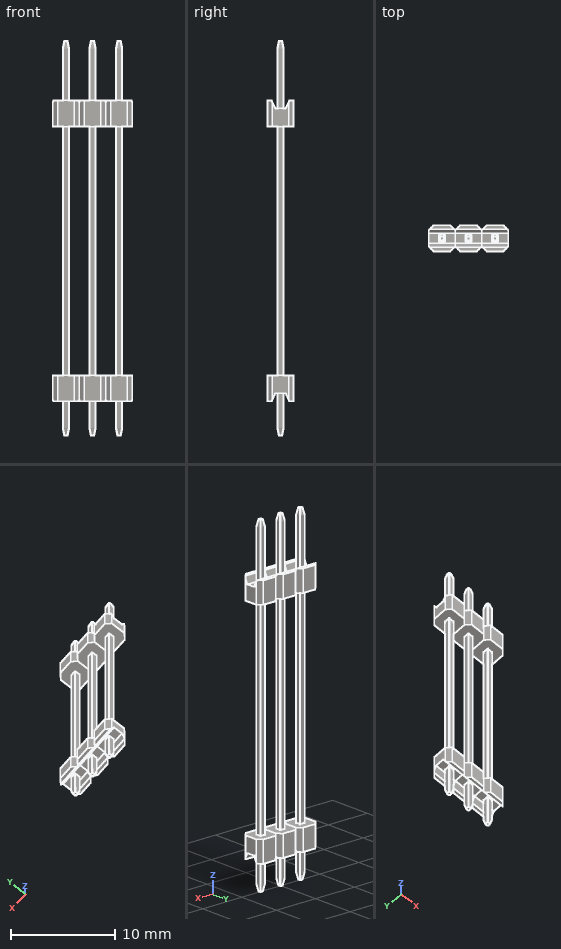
import cadquery as cq

pin_count = 3
row_length = 7.65
pitch = row_length / pin_count
pin_length = 37.8
pin_width = 0.65
tip_width = 0.35
tip_length = 0.75
pin_edge_chamfer = 0.05

cell_height = 2.5
cell_depth = 2.55
corner_chamfer = 0.5
groove_mouth = 1.7
groove_floor = 1.0
groove_depth = 0.75
upper_pin_reach = 5.7
lower_pin_reach = 3.3

half_length = pin_length / 2
upper_cell_face = half_length - upper_pin_reach
lower_cell_face = -half_length + lower_pin_reach
pin_places = [(i - (pin_count - 1) / 2) * pitch for i in range(pin_count)]


def pin_outline(width):
    """Square outline centred on the origin with its four corners cut off."""
    square = cq.Sketch().rect(width, width)
    return square.vertices().chamfer(pin_edge_chamfer)


def make_tip():
    """Taper that starts at the origin and narrows upward, keeping the cut corners."""
    base = pin_outline(pin_width)
    end = pin_outline(tip_width)
    return cq.Workplane("XY").placeSketch(base, end.moved(cq.Location((0, 0, tip_length)))).loft()


def make_pin(x):
    """Square pin with chamfered long edges and both ends tapered."""
    shank_length = pin_length - 2 * tip_length
    outline = pin_outline(pin_width)
    shank = cq.Workplane("XY").placeSketch(outline).extrude(shank_length / 2, both=True)
    upper_tip = make_tip().translate((0, 0, shank_length / 2))
    lower_tip = upper_tip.mirror("XY")
    return shank.union(upper_tip).union(lower_tip).translate((x, 0, 0))


def make_groove():
    """Trapezoidal channel along X, open upward, with its mouth at the origin."""
    return (
        cq.Workplane("YZ")
        .polyline([
            (-groove_mouth / 2, 0),
            (-groove_floor / 2, -groove_depth),
            (groove_floor / 2, -groove_depth),
            (groove_mouth / 2, 0),
        ])
        .close()
        .extrude(pitch / 2, both=True)
    )


def make_cell():
    """Eight-sided cell below the origin, grooved on top, with a fitted pin hole."""
    block = (
        cq.Workplane("XY")
        .rect(pitch, cell_depth)
        .extrude(-cell_height)
        .edges("|Z")
        .chamfer(corner_chamfer)
    )
    outline = pin_outline(pin_width)
    pin_hole = cq.Workplane("XY").placeSketch(outline).extrude(-cell_height)
    return block.cut(make_groove()).cut(pin_hole)


def make_upper_cell(x):
    """Cell with its groove facing up."""
    return make_cell().translate((x, 0, upper_cell_face))


def make_lower_cell(x):
    """Cell turned over so that its groove faces down."""
    return make_cell().mirror("XY").translate((x, 0, lower_cell_face))


pins = [make_pin(x).val() for x in pin_places]
upper_cells = [make_upper_cell(x).val() for x in pin_places]
lower_cells = [make_lower_cell(x).val() for x in pin_places]

result = cq.Compound.makeCompound([*pins, *upper_cells, *lower_cells])